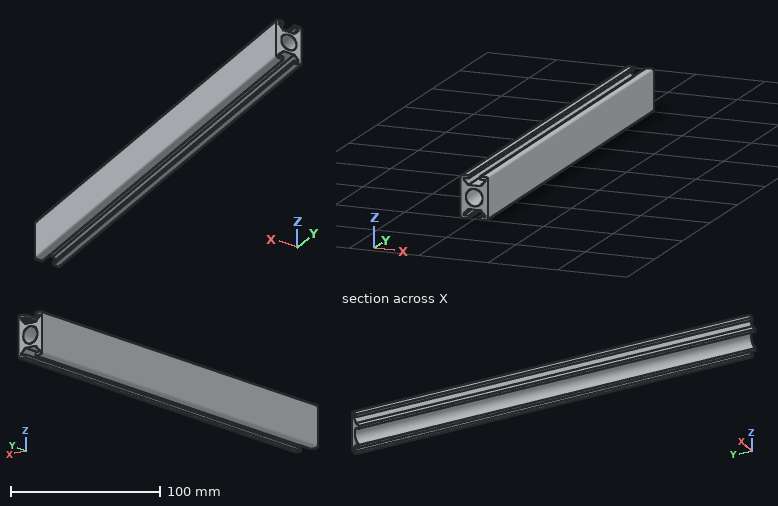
import cadquery as cq

width = 20.0
length = 300.0
height = 30.0
corner_radius = 1.8

slot_opening = 8.5
slot_width = 15.5
slot_depth = 6.5
lip_thickness = 2.0
floor_bevel = 3.5

bore_diameter = 12.0


def make_bar():
    """Solid bar centred on the origin, with its four long edges rounded."""
    bar = cq.Workplane("XY").box(width, length, height)
    return bar.edges("|Y").fillet(corner_radius)


def make_top_slot():
    """Full-length T-slot cutter for the top face, with a bevelled floor."""
    top = height / 2
    lip_bottom = top - lip_thickness
    floor = top - slot_depth
    half_opening = slot_opening / 2
    half_width = slot_width / 2
    half_floor = half_width - floor_bevel
    right_side = [
        (half_opening, top),
        (half_opening, lip_bottom),
        (half_width, lip_bottom),
        (half_width, floor + floor_bevel),
        (half_floor, floor),
    ]
    left_side = [(-x, z) for x, z in reversed(right_side)]
    profile = cq.Workplane("XZ").polyline(right_side + left_side).close()
    return profile.extrude(length / 2, both=True)


def make_bore():
    """Round cutter running the full length along the bar's axis."""
    return cq.Workplane("XZ").circle(bore_diameter / 2).extrude(length / 2, both=True)


top_slot = make_top_slot()
bottom_slot = top_slot.mirror("XY")
result = make_bar().cut(top_slot).cut(bottom_slot).cut(make_bore())